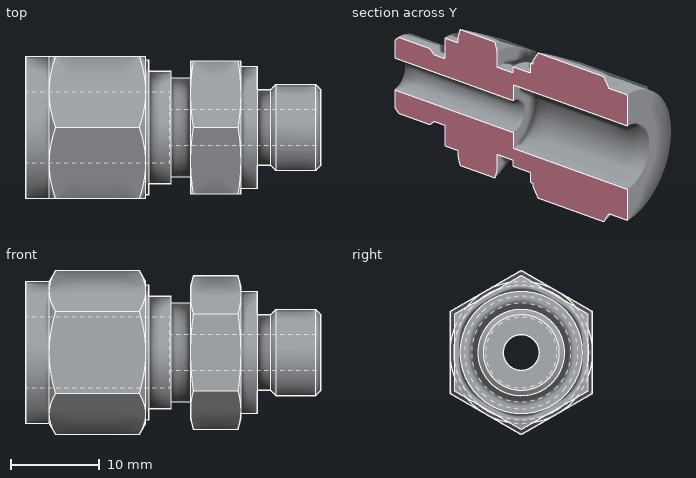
import cadquery as cq
import math


tube_end = 0.0
nut_start = 2.65
nut_end = 13.5
nut_collar_end = 13.85
body_step = 16.35
body_hex_start = 18.55
body_hex_end = 24.2
flange_end = 26.05
thread_start = 27.55
thread_end = 33.2

nut_across_flats = 16.0
nut_corner_angle = 30.0
body_across_flats = 15.0
body_corner_angle = 15.0

nut_collar_diameter = 15.2
body_shoulder_diameter = 12.7
body_neck_diameter = 11.15
flange_diameter = 13.75
thread_diameter = 9.73
thread_chamfer = 0.6
thread_relief_diameter = thread_diameter - 2 * thread_chamfer

tube_bore_diameter = 8.0
tube_bore_depth = 16.2
through_bore_diameter = 4.0


def cylinder(start, end, diameter):
    """Round section along X between two stations."""
    return cq.Workplane("YZ").workplane(offset=start).circle(diameter / 2).extrude(end - start)


def chamfered_hexagon(start, end, across_flats, corner_angle):
    """Hexagonal section whose corners are turned conically at both ends."""
    flat_radius = across_flats / 2
    corner_radius = flat_radius / math.cos(math.radians(30))
    cone_length = (corner_radius - flat_radius) * math.tan(math.radians(corner_angle))
    corners = [
        (corner_radius * math.sin(math.radians(60 * i)), corner_radius * math.cos(math.radians(60 * i)))
        for i in range(6)
    ]
    prism = cq.Workplane("YZ").workplane(offset=start).polyline(corners).close().extrude(end - start)
    turned_blank = (
        cq.Workplane("XZ")
        .moveTo(start, 0)
        .lineTo(start, flat_radius)
        .lineTo(start + cone_length, corner_radius)
        .lineTo(end - cone_length, corner_radius)
        .lineTo(end, flat_radius)
        .lineTo(end, 0)
        .close()
        .revolve(360, (0, 0, 0), (1, 0, 0))
    )
    return prism.intersect(turned_blank)


def nut():
    """Hexagonal nut with a round rim at the tube end and a thin collar behind it."""
    rim = cylinder(tube_end, nut_start, nut_across_flats)
    hexagon = chamfered_hexagon(nut_start, nut_end, nut_across_flats, nut_corner_angle)
    collar = cylinder(nut_end, nut_collar_end, nut_collar_diameter)
    return rim.union(hexagon).union(collar)


def body():
    """Stepped body with its own hexagon, sealing flange and thread relief."""
    shoulder = cylinder(nut_collar_end, body_step, body_shoulder_diameter)
    neck = cylinder(body_step, body_hex_start, body_neck_diameter)
    hexagon = chamfered_hexagon(body_hex_start, body_hex_end, body_across_flats, body_corner_angle)
    flange = cylinder(body_hex_end, flange_end, flange_diameter)
    relief = cylinder(flange_end, thread_start, thread_relief_diameter)
    return shoulder.union(neck).union(hexagon).union(flange).union(relief)


def thread():
    """Plain cylinder at the thread's outer diameter, chamfered at both ends."""
    return cylinder(thread_start, thread_end, thread_diameter).edges("%CIRCLE").chamfer(thread_chamfer)


tube_bore = cylinder(tube_end, tube_bore_depth, tube_bore_diameter)
through_bore = cylinder(tube_end, thread_end, through_bore_diameter)

result = nut().union(body()).union(thread()).cut(tube_bore).cut(through_bore)